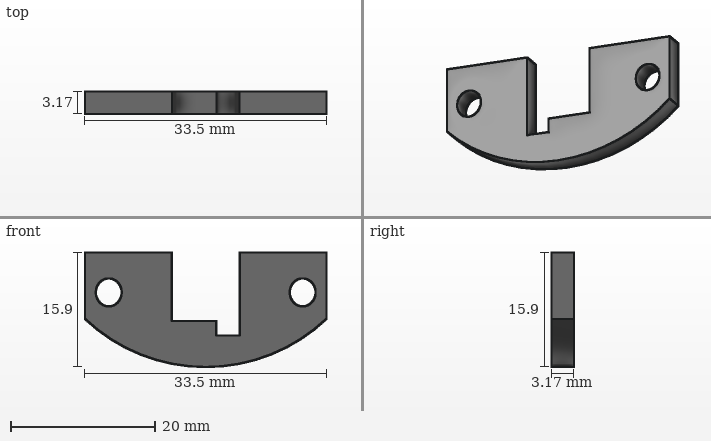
import cadquery as cq

width = 33.53
thickness = 3.175
height = 15.94
side_height = 9.24

notch_width = 9.4
notch_depth = 9.525
step_width = 3.23
step_depth = 2.0

hole_spacing = 26.9
hole_drop = 5.57
hole_width = 3.556
hole_height = 3.85


def front_plane():
    """XZ workplane on the front (-Y) face; negative extrusions run into the plate."""
    return cq.Workplane("XZ", origin=(0, -thickness / 2, 0))


def make_plate():
    """Plate with a flat top, straight sides and an arc along the bottom."""
    half_width = width / 2
    return (
        front_plane()
        .moveTo(-half_width, 0)
        .lineTo(-half_width, -side_height)
        .threePointArc((0, -height), (half_width, -side_height))
        .lineTo(half_width, 0)
        .close()
        .extrude(-thickness)
    )


def make_notch():
    """Cutter for the notch and the deeper pocket in its +X corner."""
    half_notch = notch_width / 2
    step_x = half_notch - step_width
    pocket_depth = notch_depth + step_depth
    return (
        front_plane()
        .moveTo(-half_notch, 0)
        .lineTo(-half_notch, -notch_depth)
        .lineTo(step_x, -notch_depth)
        .lineTo(step_x, -pocket_depth)
        .lineTo(half_notch, -pocket_depth)
        .lineTo(half_notch, 0)
        .close()
        .extrude(-thickness)
    )


def make_holes():
    """Cutter for the two elliptical through holes."""
    centres = [(side * hole_spacing / 2, -hole_drop) for side in (-1, 1)]
    return (
        front_plane()
        .pushPoints(centres)
        .ellipse(hole_width / 2, hole_height / 2)
        .extrude(-thickness)
    )


result = make_plate().cut(make_notch()).cut(make_holes())